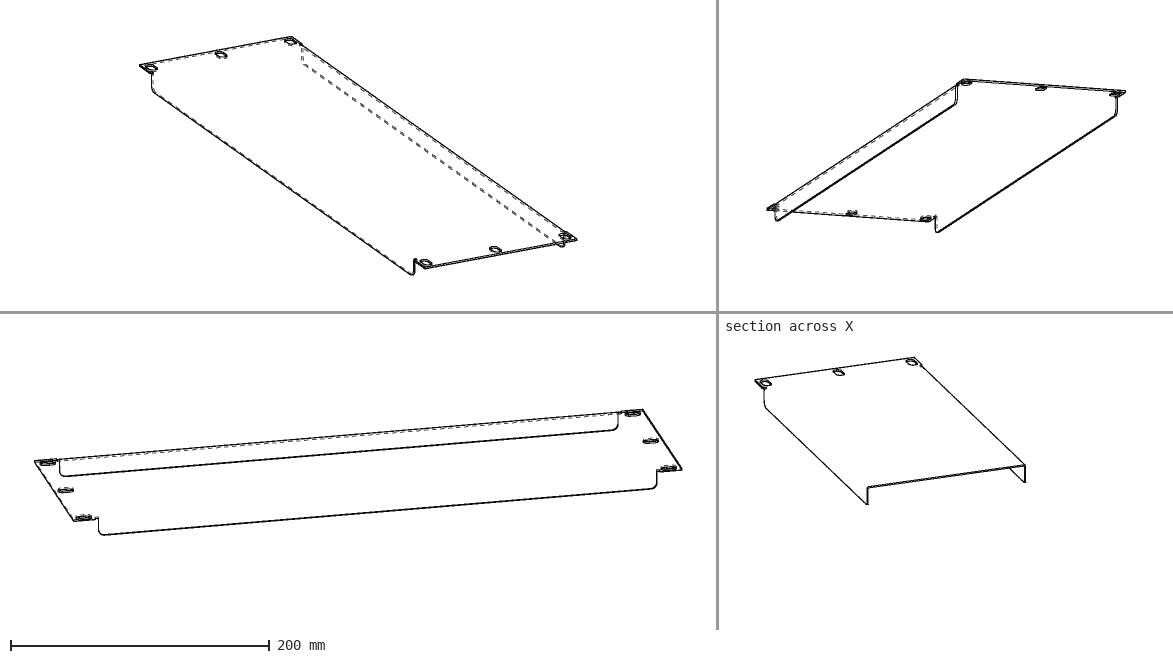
import cadquery as cq

panel_length = 483.0
panel_width = 132.0
panel_height = 15.0
sheet = 1.5

bend_inner_radius = 0.5
bend_outer_radius = bend_inner_radius + sheet
flange_end_inset = 20.0
flange_length = panel_length - 2 * flange_end_inset
flange_corner_radius = 5.0

relief_width = 2.5
relief_depth = bend_outer_radius

slot_length = 12.0
slot_width = 7.0
slot_end_inset = 9.0
slot_row_pitch = 60.5


def folded_channel():
    """Channel with rounded bends and rounded lower flange corners."""
    outer = (
        cq.Workplane("XY")
        .box(flange_length, panel_width, panel_height, centered=(True, True, False))
        .translate((0, 0, -panel_height))
        .edges("|X and >Z")
        .fillet(bend_outer_radius)
        .edges("|Y and <Z")
        .fillet(flange_corner_radius)
    )
    inner = (
        cq.Workplane("XY")
        .box(flange_length, panel_width - 2 * sheet, panel_height, centered=(True, True, False))
        .translate((0, 0, -panel_height - sheet))
        .edges("|X and >Z")
        .fillet(bend_inner_radius)
    )
    return outer.cut(inner)


def flat_panel():
    """Flat sheet with full-width ends and a narrower middle between the bends."""
    web_width = panel_width - 2 * relief_depth
    end_length = flange_end_inset - relief_width
    panel = cq.Workplane("XY").rect(panel_length, web_width).extrude(-sheet)
    for side in (-1, 1):
        end_center = side * (panel_length - end_length) / 2
        end = cq.Workplane("XY").center(end_center, 0).rect(end_length, panel_width).extrude(-sheet)
        panel = panel.union(end)
    return panel


def mounting_slots():
    """Cutters for three round-ended slots at each end of the panel."""
    slot_x = panel_length / 2 - slot_end_inset
    centers = [(side * slot_x, row * slot_row_pitch) for side in (-1, 1) for row in (-1, 0, 1)]
    return cq.Workplane("XY").pushPoints(centers).slot2D(slot_length, slot_width).extrude(-sheet)


result = flat_panel().union(folded_channel()).cut(mounting_slots())